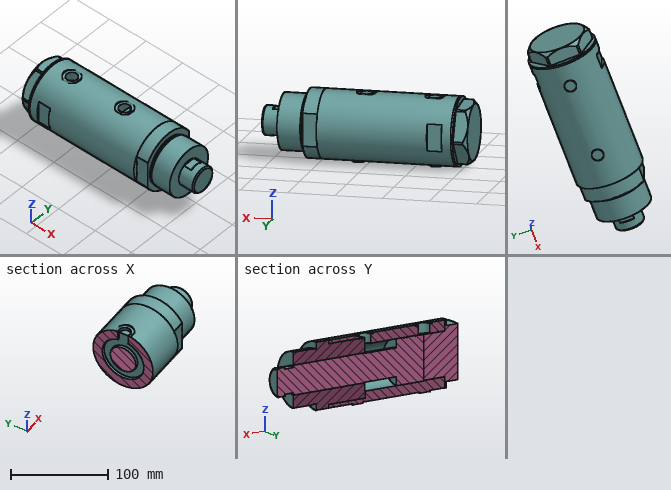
import cadquery as cq
import math


OVERALL_LENGTH = 221.5

HEX_LENGTH = 14.2
HEX_ACROSS_FLATS = 59.8
HEX_CORNER_RADIUS = 34.0
HEX_FACE_RADIUS = 29.7
HEX_TURN = 7.5
FLANGE_THICKNESS = 2.0
CAP_END = 42.3

HOUSING_RADIUS = 36.5
HOUSING_START = HEX_LENGTH + FLANGE_THICKNESS
HOUSING_END = 158.4
CYLINDER_BORE_RADIUS = 24.8

SLOT_START = 26.1
SLOT_WIDTH = 15.5
SLOT_FLAT_OFFSET = 33.7

PORT_POSITIONS = (41.6, 113.9)
PORT_RADIUS = 6.6
PORT_SEAT_RADIUS = 10.2
PORT_SEAT_DEPTH = 1.22

BOSS_POSITIONS = (40.3, 122.5)
BOSS_RADIUS = 6.2
BOSS_HEIGHT = 1.0

SLEEVE_START = PORT_POSITIONS[1]
GLAND_HEAD_END = 174.0
GLAND_FLAT_OFFSET = 32.1
SLEEVE_RADIUS = 32.1
COLLAR_RADIUS = 30.1
GLAND_END = 201.5
NECK_RADIUS = 29.5
NECK_LENGTH = 2.0
COLLAR_START = 177.2

PISTON_LENGTH = 33.2
ROD_RADIUS = 15.7
ROD_CHAMFER = 1.5
ROD_FLAT_OFFSET = 13.7
ROD_FLAT_LENGTH = 10.0


def cylinder_x(radius, start, end):
    """Solid cylinder on the X axis between two X positions."""
    return cq.Workplane("YZ", origin=(start, 0, 0)).circle(radius).extrude(end - start)


def cylinder_z(radius, x, bottom, top):
    """Solid vertical cylinder at a given X on the axis plane."""
    return cq.Workplane("XY", origin=(x, 0, bottom)).circle(radius).extrude(top - bottom)


def slab(start, end, low_y, high_y, low_z, high_z):
    """Box between two corners."""
    size = (end - start, high_y - low_y, high_z - low_z)
    return cq.Workplane("XY", origin=(start, low_y, low_z)).box(*size, centered=False)


def flat_pair_y(start, end, offset):
    """Material beyond two parallel flats facing +Y and -Y."""
    reach = 2 * HOUSING_RADIUS
    upper = slab(start, end, offset, reach, -reach, reach)
    return upper.union(upper.mirror("XZ"))


def flat_pair_z(start, end, offset):
    """Material beyond two parallel flats facing +Z and -Z on the rod."""
    reach = 2 * ROD_RADIUS
    upper = slab(start, end, -reach, reach, offset, reach)
    return upper.union(upper.mirror("XY"))


def make_cap():
    """Hex head with chamfered corners, flange and a spigot closing the bore."""
    corner_diameter = HEX_ACROSS_FLATS / math.cos(math.pi / 6)
    hexagon = cq.Workplane("YZ").polygon(6, corner_diameter).extrude(HEX_LENGTH)
    hexagon = hexagon.rotate((0, 0, 0), (1, 0, 0), -HEX_TURN)
    corner_trim = cylinder_x(HEX_CORNER_RADIUS, 0, HEX_LENGTH)
    corner_trim = corner_trim.faces("<X").chamfer(HEX_CORNER_RADIUS - HEX_FACE_RADIUS)
    head = hexagon.intersect(corner_trim)
    flange = cylinder_x(HOUSING_RADIUS, HEX_LENGTH, HOUSING_START)
    spigot = cylinder_x(CYLINDER_BORE_RADIUS, HOUSING_START, CAP_END)
    return head.union(flange).union(spigot)


def make_housing():
    """Tube with a pair of wrench slots, two ports on top and two bosses underneath."""
    housing = cylinder_x(HOUSING_RADIUS, HOUSING_START, HOUSING_END)
    for x in BOSS_POSITIONS:
        housing = housing.union(cylinder_z(BOSS_RADIUS, x, -HOUSING_RADIUS - BOSS_HEIGHT, 0))

    housing = housing.cut(cylinder_x(CYLINDER_BORE_RADIUS, HOUSING_START, SLEEVE_START))
    housing = housing.cut(cylinder_x(SLEEVE_RADIUS, SLEEVE_START, HOUSING_END))

    housing = housing.cut(flat_pair_y(SLOT_START, SLOT_START + SLOT_WIDTH, SLOT_FLAT_OFFSET))

    for x in PORT_POSITIONS:
        seat_floor = HOUSING_RADIUS - PORT_SEAT_DEPTH
        housing = housing.cut(cylinder_z(PORT_SEAT_RADIUS, x, seat_floor, HOUSING_RADIUS))
        housing = housing.cut(cylinder_z(PORT_RADIUS, x, 0, HOUSING_RADIUS))
    return housing


def make_gland():
    """Sleeve, flatted head and collar in one, with a neck between head and collar."""
    neck_end = GLAND_HEAD_END + NECK_LENGTH
    profile = [
        (SLEEVE_START, ROD_RADIUS),
        (SLEEVE_START, SLEEVE_RADIUS),
        (HOUSING_END, SLEEVE_RADIUS),
        (HOUSING_END, HOUSING_RADIUS),
        (GLAND_HEAD_END, HOUSING_RADIUS),
        (GLAND_HEAD_END, NECK_RADIUS),
        (neck_end, NECK_RADIUS),
        (COLLAR_START, COLLAR_RADIUS),
        (GLAND_END, COLLAR_RADIUS),
        (GLAND_END, ROD_RADIUS),
    ]
    gland = cq.Workplane("XY").polyline(profile).close().revolve(360, (0, 0, 0), (1, 0, 0))
    return gland.cut(flat_pair_y(HOUSING_END, GLAND_HEAD_END, GLAND_FLAT_OFFSET))


def make_piston_rod():
    """Piston against the cap spigot, with a rod leaving through the gland."""
    piston = cylinder_x(CYLINDER_BORE_RADIUS, CAP_END, CAP_END + PISTON_LENGTH)
    rod = cylinder_x(ROD_RADIUS, CAP_END, OVERALL_LENGTH).faces(">X").chamfer(ROD_CHAMFER)
    rod = rod.cut(flat_pair_z(GLAND_END, GLAND_END + ROD_FLAT_LENGTH, ROD_FLAT_OFFSET))
    return piston.union(rod)


cap = make_cap()
housing = make_housing()
gland = make_gland()
piston_rod = make_piston_rod()

result = cq.Compound.makeCompound([cap.val(), housing.val(), gland.val(), piston_rod.val()])